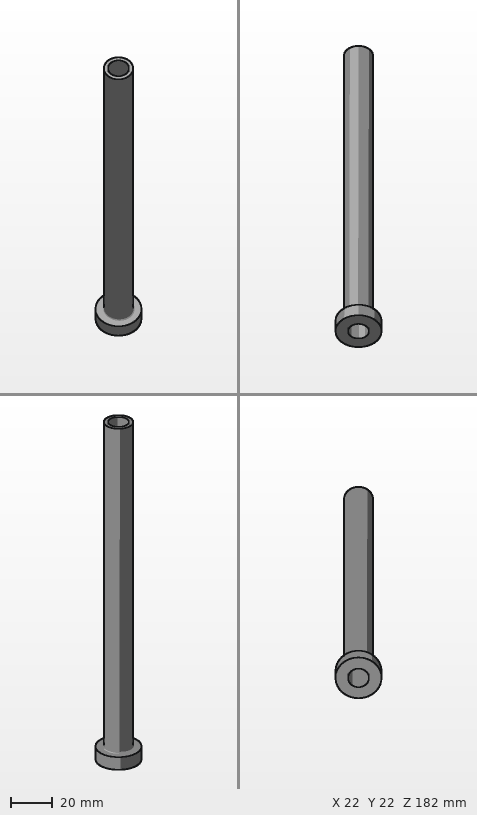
import cadquery as cq

total_length = 182.0
head_diameter = 22.0
head_height = 7.0
sleeve_diameter = 14.0
bore_diameter = 10.0
neck_fillet_radius = 0.7

head = cq.Workplane("XY").circle(head_diameter / 2).extrude(head_height)
sleeve = cq.Workplane("XY").circle(sleeve_diameter / 2).extrude(total_length)
body = head.union(sleeve)

neck_edge = cq.selectors.RadiusNthSelector(0)
body = body.faces("<Z[1]").edges(neck_edge).fillet(neck_fillet_radius)

bore = cq.Workplane("XY").circle(bore_diameter / 2).extrude(total_length)
result = body.cut(bore)